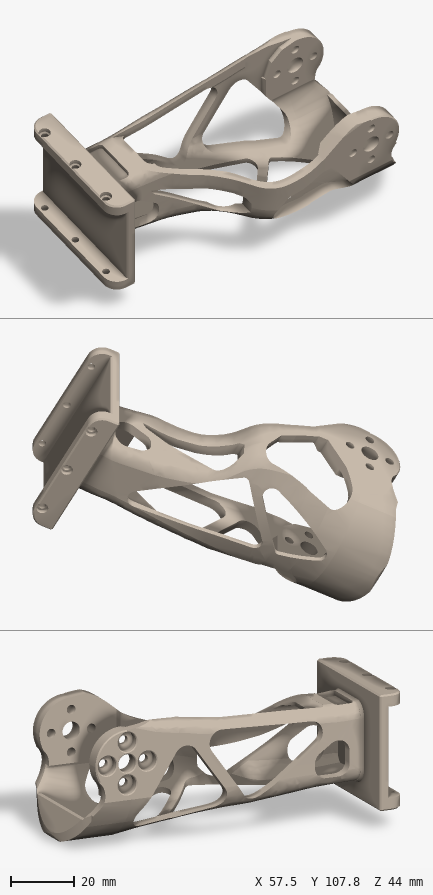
import cadquery as cq
import math


total_length = 107.76
beyond = 60.0

half_width = 23.6
ear_radius = 11.0
ear_rim_bevel = 0.4
ear_rim_bevel_bottom = -5.0
pad_inner_left = -18.6
pad_inner_right = 18.2
pad_bottom = -10.6
left_pad_front = -11.2
left_pad_bevel = 1.0
right_pad_front = -15.8
right_pad_bevel = 2.4
pad_bevel_depth = 2.2
bolt_circle_radius = 7.0
axle_diameter = 6.0
bolt_diameter = 3.0
bolt_head_diameter = 7.0
bolt_head_depth = 3.0
hole_bevel = 0.3

tail_end = 15.66
arm_bottom = -29.1
tail_rim = -18.7
tail_rise_start = 3.8
tail_half_width = 20.4
shoulder_top = 12.5

base_center_x = -10.3
base_width = 47.2
base_top = 14.88
base_height = 38.1
base_back = -83.3
base_front = tail_end - total_length
base_plate_thickness = 3.2
base_flange_thickness = 4.0
base_corner_radius = 5.0
base_edge_bevel = 0.5
base_hole_pitch = 17.0
base_hole_inset = 1.95
base_hole_diameter = 2.4
base_counterbore_diameter = 3.8
base_counterbore_depth = 1.5

left_wall = 3.3
right_wall = 3.0
floor_wall = 1.6
roof_wall = 3.0
inner_top_corner_min = 0.4
underside_sag = 0.001
side_end = -12.0
lower_corner = 5.0

recess_center_x = -9.95
recess_width = 16.4
recess_back = -74.9
recess_front = -81.7
recess_depth = 1.6
neck_top = 8.9
recess_corner = 1.5
neck_flare = 0.5
neck_left = -21.5
neck_right = 0.55
neck_bottom = -17.2
neck_corner = 4.8

opening_front = -71.2
opening_left = -20.1
opening_left_neck = -18.4
roof_notch_front = -67.2
roof_notch_length = 6.0
roof_notch_width = 15.0
roof_notch_height = 3.4
roof_notch_radius = 2.0
roof_notch_center_x = -10.9
ear_gap_length = 50.0
ear_gap_center_y = 7.0

side_window_radius = 4.2
neck_window_radius = 4.0
floor_window_radius = 3.0
floor_window_tight_radius = 1.5
floor_window_depth = 30.0
floor_window_start = -42.0

STATIONS = [
    (18.0, -half_width, half_width, shoulder_top, 0.8, arm_bottom, 0.0),
    (-1.5, -half_width, half_width, shoulder_top, 0.8, -29.0, 0.0),
    (-10.0, -half_width, half_width, shoulder_top, 3.3, -27.4, 0.16),
    (-18.0, -half_width, half_width, shoulder_top, 4.7, -26.1, 0.27),
    (-23.0, -half_width, 23.4, 11.8, 4.7, -25.1, 0.36),
    (-28.5, -half_width, 22.7, 11.0, 4.7, -24.1, 0.42),
    (-34.3, -23.5, 21.1, 10.4, 4.5, -23.0, 0.49),
    (-38.9, -23.35, 17.5, 10.1, 4.5, -22.1, 0.55),
    (-42.5, -23.15, 12.5, 9.9, 4.5, -21.4, 0.63),
    (-46.7, -22.9, 8.4, 9.7, 4.5, -20.6, 0.7),
    (-50.6, -22.7, 5.8, 9.5, 4.5, -19.9, 0.78),
    (-55.8, -22.5, 3.9, 9.3, 4.5, -19.0, 0.9),
    (-61.6, -22.1, 2.3, 9.1, 4.5, -18.2, 1.0),
    (-67.4, -21.6, 1.5, 9.0, 4.6, -17.7, 1.0),
    (-73.3, -21.5, 0.8, 8.9, 4.8, -17.4, 1.0),
    (-78.0, neck_left, neck_right, neck_top, neck_corner, neck_bottom, 1.0),
    (base_back, neck_left, neck_right, neck_top, neck_corner, neck_bottom, 1.0),
]
SWING_START = 3


def yz_prism(profile, x_min, x_max):
    """Extrudes a YZ profile from x_min to x_max."""
    return profile.extrude(x_max - x_min).translate((x_min, 0, 0))


def yz_polygon(points, x_min, x_max, radius=0.0):
    """Polygon prism along X, with its corners rounded when a radius is given."""
    solid = yz_prism(cq.Workplane("YZ").polyline(points).close(), x_min, x_max)
    return solid.edges("|X").fillet(radius) if radius else solid


def section_wire(y, left, right, top, top_corner, bottom, squareness):
    """Closed cross-section of the arm in the XZ plane at the given y."""
    half = (right - left) / 2
    middle = (right + left) / 2
    drop = side_end - bottom
    arc_radius = (half**2 + drop**2) / (2 * drop)

    def underside(inset, square_height):
        on_arc = bottom + arc_radius - math.sqrt(arc_radius**2 - (half - inset) ** 2)
        return on_arc + squareness * (square_height - on_arc)

    bend = 1 - math.sqrt(0.5)
    corner_z = underside(lower_corner, bottom)
    bend_z = underside(bend * lower_corner, bottom + bend * drop)

    def at(x, z):
        return cq.Vector(x, y, z)

    def arc(a, b, c):
        return cq.Edge.makeThreePointArc(at(*a), at(*b), at(*c))

    def line(a, b):
        return cq.Edge.makeLine(at(*a), at(*b))

    top_bend = bend * top_corner
    left_low = (left, side_end)
    right_low = (right, side_end)
    left_foot = (left + lower_corner, corner_z)
    right_foot = (right - lower_corner, corner_z)
    left_high = (left, top - top_corner)
    right_high = (right, top - top_corner)
    left_roof = (left + top_corner, top)
    right_roof = (right - top_corner, top)
    return cq.Wire.assembleEdges([
        arc(left_low, (left + bend * lower_corner, bend_z), left_foot),
        arc(left_foot, (middle, bottom - underside_sag), right_foot),
        arc(right_foot, (right - bend * lower_corner, bend_z), right_low),
        line(right_low, right_high),
        arc(right_high, (right - top_bend, top - top_bend), right_roof),
        line(right_roof, left_roof),
        arc(left_roof, (left + top_bend, top - top_bend), left_high),
        line(left_high, left_low),
    ])


def right_wall_across(index):
    """X extent of the right wall, kept at full thickness where the side swings inward."""
    before = STATIONS[max(index - 1, 0)]
    after = STATIONS[min(index + 1, len(STATIONS) - 1)]
    return right_wall * math.hypot(1, (before[2] - after[2]) / (before[0] - after[0]))


def loft_through(wires):
    """Straight taper past the ears, then a smooth sweep through the swinging neck."""
    taper = cq.Workplane(cq.Solid.makeLoft(wires[:SWING_START + 1], True))
    swing = cq.Workplane(cq.Solid.makeLoft(wires[SWING_START:]))
    return taper.union(swing)


def outer_tube():
    """Solid body of the arm, including the foot of the neck."""
    return loft_through([section_wire(*station) for station in STATIONS]).union(neck_foot())


def neck_foot():
    """Short flare where the neck meets the base."""
    neck = (neck_left, neck_right, neck_top, neck_corner, neck_bottom, 1.0)
    flared = (neck_left - neck_flare, neck_right + neck_flare, neck_top + neck_flare, neck_corner,
              neck_bottom - neck_flare, 1.0)
    wires = [section_wire(base_back + 2 * neck_flare, *neck), section_wire(base_back, *flared)]
    return cq.Workplane(cq.Solid.makeLoft(wires, True))


def inner_tube():
    """Hollow of the arm: the stations set in by the wall thicknesses."""
    wires = []
    for i, (y, left, right, top, top_corner, bottom, squareness) in enumerate(STATIONS):
        inner_right = right - right_wall_across(i)
        inner_corner = max(top_corner - roof_wall, inner_top_corner_min)
        wires.append(section_wire(y, left + left_wall, inner_right, top - roof_wall, inner_corner,
                                  bottom + floor_wall, squareness))
    return loft_through(wires)


def end_trim():
    """Keeps the arm inside the rounded ears, the sloping tail and the bowed tail end."""
    front = base_front - beyond
    profile = (
        cq.Workplane("YZ")
        .moveTo(front, beyond).lineTo(-9.0, beyond).lineTo(-9.0, shoulder_top)
        .lineTo(-4.5, 11.6).lineTo(0, ear_radius)
        .threePointArc((ear_radius, 0), (9.6, -5.4))
        .spline([(7.8, -8.8), (7.9, -11.5), (10.2, -15.6), (12.6, -18.4)], includeCurrent=True)
        .lineTo(15.5, -26.0)
        .threePointArc((tail_end, -27.2), (14.2, arm_bottom))
        .lineTo(front, arm_bottom).close()
    )
    plan = (
        cq.Workplane("XY").moveTo(-beyond, front).lineTo(-beyond, ear_radius)
        .lineTo(-tail_half_width, ear_radius)
        .threePointArc((0, tail_end), (tail_half_width, ear_radius))
        .lineTo(beyond, ear_radius).lineTo(beyond, front).close()
        .extrude(2 * beyond).translate((0, 0, -beyond))
    )
    return yz_prism(profile, -beyond, beyond).intersect(plan)


def floor_plate():
    """Flat sloping floor filling the lowest part of the hollow."""
    plane = [(tail_rise_start, -28.1), (-67, -15.5), (base_back, -14.7),
             (base_back, -beyond), (tail_rise_start, -beyond)]
    return yz_polygon(plane, -beyond, beyond)


def tail_wall():
    """Wall that rises in a hollow curve to close the tail."""
    profile = (
        cq.Workplane("YZ").moveTo(tail_rise_start, -27.2)
        .threePointArc((9.3, -24.6), (11.2, tail_rim))
        .lineTo(beyond, tail_rim).lineTo(beyond, -beyond).lineTo(tail_rise_start, -beyond).close()
    )
    return yz_prism(profile, -beyond, beyond)


def top_opening():
    """Removes the roof from the left rail to the right, down to the edge of the right strap."""
    plan = (
        cq.Workplane("XY")
        .polyline([(opening_left, beyond), (opening_left, -34), (opening_left_neck, -58),
                   (opening_left_neck, opening_front), (beyond, opening_front), (beyond, beyond)])
        .close().extrude(2 * beyond).translate((0, 0, -beyond))
    )
    above_strap = (
        cq.Workplane("YZ")
        .moveTo(beyond, beyond).lineTo(beyond, ear_radius).lineTo(0, ear_radius)
        .lineTo(-1.6, 11.7).lineTo(-4.5, 11.9)
        .spline([(-11, 9.0), (-19.9, 2.3), (-25, 0), (-33, -1.95), (-42, -1.6), (-50.4, 0.3),
                 (-58, 2.9), (-62.7, 5.2), (-67.2, 7.3), (opening_front, neck_top)], includeCurrent=True)
        .lineTo(opening_front, beyond).close()
    )
    opening = plan.intersect(yz_prism(above_strap, -beyond, beyond))
    notch = cq.Workplane("XY").box(roof_notch_width, roof_notch_length, roof_notch_height)
    notch = notch.edges("|Z and <Y").fillet(roof_notch_radius)
    notch_y = roof_notch_front + roof_notch_length / 2
    return opening.union(notch.translate((roof_notch_center_x, notch_y, neck_top - roof_wall)))


def ear_pad(inner_x, outer_x, front, bevel):
    """Block reaching from inner_x outward, with a slanted front corner."""
    step = math.copysign(pad_bevel_depth, outer_x)
    plan = [(outer_x, beyond), (inner_x, beyond), (inner_x, front), (inner_x + step, front - bevel),
            (outer_x, front - bevel)]
    return cq.Workplane("XY").polyline(plan).close().extrude(beyond).translate((0, 0, pad_bottom))


def side_windows():
    """Windows in both side walls; those on the right stay below the strap."""
    rear = [(-20.3, 6.7), (0.3, -25.8), (-38.0, -17.6)]
    front = [(-24.3, 7.6), (-43.8, -19.2), (-77.0, 4.9)]
    neck = [(-66.3, -6.7), (-66.3, -13.9), (-78.5, -13.9), (-78.5, 1.7)]
    split = base_center_x
    below_strap_rear = [(10, -2), (-18, -2), (-20.6, -3.2), (-25.8, -5.8), (-30.6, -7.5), (-40, -10.5),
                        (-40, -beyond), (10, -beyond)]
    below_strap_front = [(-40.4, -10.2), (-41.4, -8.4), (-44, -7.4), (-57.5, -3.8), (-69, 0.5),
                         (-69, -beyond), (-40.4, -beyond)]
    cutters = yz_polygon(rear, -beyond, split, side_window_radius)
    cutters = cutters.union(yz_polygon(front, -beyond, split, side_window_radius))
    cutters = cutters.union(yz_polygon(neck, -beyond, beyond, neck_window_radius))
    for window, limit in ((rear, below_strap_rear), (front, below_strap_front)):
        right = yz_polygon(window, split, beyond, side_window_radius)
        cutters = cutters.union(right.intersect(yz_polygon(limit, split, beyond)))
    return cutters


def floor_windows():
    """Two curved triangular windows either side of the diagonal brace."""
    rear = (
        cq.Workplane("XY").moveTo(0, -1.2)
        .threePointArc((-5.2, -9.1), (-8.5, -17.0))
        .lineTo(14.6, -35.4)
        .threePointArc((6.9, -13.0), (0, -1.2)).close().extrude(floor_window_depth)
    )
    rear = rear.edges("|Z").edges(">X or >Y").fillet(floor_window_radius)
    rear = rear.edges("|Z").edges("<X").fillet(floor_window_tight_radius)
    front = (
        cq.Workplane("XY").moveTo(-10.0, -19.9)
        .threePointArc((-15.0, -48), (-18.1, -73.1))
        .lineTo(11.6, -37.0).close().extrude(floor_window_depth)
    )
    front = front.edges("|Z").edges(">Y or <Y").fillet(floor_window_radius)
    front = front.edges("|Z").edges(">X").fillet(floor_window_tight_radius)
    return rear.union(front).translate((0, 0, floor_window_start))


def ear_holes():
    """Axle and bolt holes through both ears, with bolt-head bores in the left one."""
    cutters = cq.Workplane("YZ").circle(axle_diameter / 2).extrude(2 * beyond).translate((-beyond, 0, 0))
    reach = bolt_circle_radius
    spots = [(reach, 0), (-reach, 0), (0, reach), (0, -reach)]
    bolts = cq.Workplane("YZ").pushPoints(spots).circle(bolt_diameter / 2).extrude(2 * beyond)
    cutters = cutters.union(bolts.translate((-beyond, 0, 0)))
    heads = cq.Workplane("YZ").pushPoints(spots).circle(bolt_head_diameter / 2 - hole_bevel)
    heads = heads.extrude(bolt_head_depth).translate((-half_width, 0, 0))
    cutters = cutters.union(heads)
    mouths = cq.Workplane("YZ").pushPoints(spots).circle(bolt_head_diameter / 2)
    cutters = cutters.union(mouths.extrude(hole_bevel, taper=45).translate((-half_width, 0, 0)))
    mouth = cq.Workplane("YZ").circle(axle_diameter / 2 + hole_bevel).extrude(hole_bevel, taper=45)
    return cutters.union(mouth.translate((-half_width, 0, 0)))


def base_bracket():
    """Plate with two drilled flanges forming a channel that opens toward -Y."""
    depth = base_back - base_front
    middle_z = base_top - base_height / 2
    middle_y = (base_back + base_front) / 2
    block = cq.Workplane("XY").box(base_width, depth, base_height)
    block = block.translate((base_center_x, middle_y, middle_z))
    block = block.edges("|Z and <Y").fillet(base_corner_radius)
    block = block.faces(">Y or >Z or <Z").edges().chamfer(base_edge_bevel)
    channel_depth = depth - base_plate_thickness
    channel = cq.Workplane("XY").box(2 * beyond, channel_depth, base_height - 2 * base_flange_thickness)
    block = block.cut(channel.translate((base_center_x, base_front + channel_depth / 2, middle_z)))
    for side in (-1, 1):
        plate_end = (base_center_x + side * base_width / 2, base_back - base_plate_thickness, middle_z)
        block = block.edges(cq.NearestToPointSelector(plate_end)).chamfer(base_edge_bevel)
    spots = [(base_center_x + i * base_hole_pitch, base_front + base_hole_inset) for i in (-1, 0, 1)]
    holes = cq.Workplane("XY").pushPoints(spots).circle(base_hole_diameter / 2).extrude(2 * beyond)
    block = block.cut(holes.translate((0, 0, -beyond)))
    bores = cq.Workplane("XY").pushPoints(spots).circle(base_counterbore_diameter / 2)
    bores = bores.extrude(base_counterbore_depth)
    block = block.cut(bores.translate((0, 0, base_top - base_counterbore_depth)))
    return block.cut(bores.translate((0, 0, base_top - base_height)))


def neck_recess():
    """Rounded recess in the top of the neck whose floor runs parallel to the surface."""
    length = recess_back - recess_front
    middle_y = (recess_back + recess_front) / 2
    box = cq.Workplane("XY").box(recess_width, length, beyond, centered=(True, True, False))
    box = box.edges("|Z").fillet(recess_corner).translate((recess_center_x, middle_y, 0))
    core_width = neck_right - neck_left - 2 * recess_depth
    core_height = neck_top - neck_bottom
    core = cq.Workplane("XY").box(core_width, 3 * length, core_height)
    core = core.edges("|Y and >Z").fillet(neck_corner - recess_depth)
    core_z = neck_top - recess_depth - core_height / 2
    return box.cut(core.translate(((neck_left + neck_right) / 2, middle_y, core_z)))


def ear_bevel():
    """Wedge ring that bevels the outer rim of the left ear around its tail side."""
    size = 2 * ear_radius
    block = cq.Workplane("XY").box(ear_rim_bevel, size, size, centered=(False, False, False))
    disc = cq.Workplane("YZ").circle(ear_radius - ear_rim_bevel).extrude(ear_rim_bevel, taper=-45)
    return block.translate((0, 0, ear_rim_bevel_bottom)).cut(disc).translate((-half_width, 0, 0))


def gap_between_ears():
    """Clears the roof between the ear walls."""
    width = 2 * half_width - left_wall - right_wall
    center_x = (left_wall - right_wall) / 2
    gap = cq.Workplane("XY").box(width, ear_gap_length, beyond, centered=(True, True, False))
    return gap.translate((center_x, ear_gap_center_y, 0))


def ear_pads(opening):
    """Thickened hubs inside the ears; the left one follows the ear rim, the right one the strap."""
    left = ear_pad(pad_inner_left, -beyond, left_pad_front, left_pad_bevel)
    above_left_rim = [(0, ear_radius), (-5, 9.8), (-9, 6.3), (left_pad_front, 0),
                      (-20, 0), (-20, beyond), (0, beyond)]
    left = left.cut(yz_polygon(above_left_rim, -beyond, 0))
    right = ear_pad(pad_inner_right, beyond, right_pad_front, right_pad_bevel)
    return left.union(right.cut(opening))


opening = top_opening()
pads = ear_pads(opening)
cavity = inner_tube().cut(pads.union(floor_plate()).union(tail_wall()))
headroom = opening.union(gap_between_ears()).cut(pads)
left_rim_bevel = ear_bevel()

arm = outer_tube().intersect(end_trim())
for cutter in (
    headroom,
    cavity,
    side_windows(),
    floor_windows(),
    ear_holes(),
    left_rim_bevel,
    left_rim_bevel.mirror("YZ"),
    neck_recess(),
):
    arm = arm.cut(cutter)

result = arm.union(base_bracket())